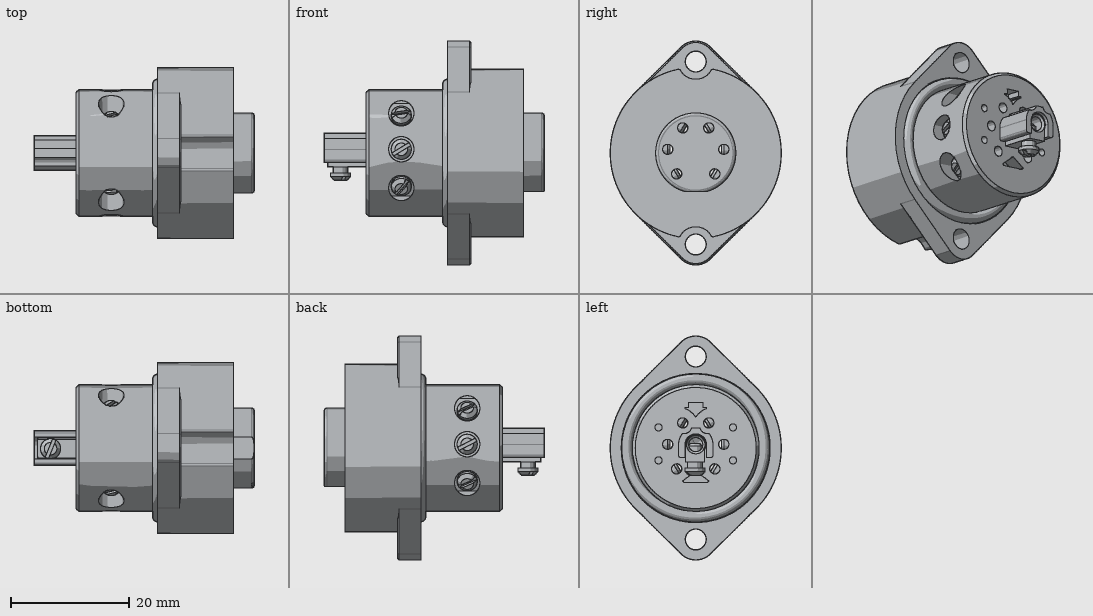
import cadquery as cq
import math


barrel_radius = 14.5
barrel_end = 12.95
flange_thickness = 4.02
flange_chamfer = 0.25
flange_height = 37.97
lobe_radius = 3.5
lobe_offset = flange_height / 2 - lobe_radius
mounting_hole_diameter = 3.5
groove_radius = 3.0
groove_edge_radius = 0.38

insert_radius = 10.75
ring_section_diameter = 1.8
ring_section_radius = ring_section_diameter / 2
ring_front = -0.8
ring_center_x = ring_front + ring_section_radius
ring_center_radius = insert_radius + ring_section_radius
recess_radius = 12.65
recess_depth = ring_center_x + ring_section_radius

insert_face = -13.8
insert_chamfer = 0.5
core_radius = 6.8
core_flat = 6.53
core_end = 16.45
core_end_radius = 0.5

bore_circle_diameter = 9.6
bore_circle_radius = bore_circle_diameter / 2
bore_diameter = 1.7
access_hole_diameter = 4.3
terminal_x = -7.8
screw_tip_overrun = 0.4
terminals = [
    (62.5, 31.0, 6.72, 4.05, {-1: 10.0, 1: 27.0}),
    (7.5, 0.0, 0.65, 4.05, {-1: 31.0, 1: 27.0}),
    (-47.5, -31.0, -5.92, 5.35, {-1: 52.0, 1: 27.0}),
]

screw_length = 5.4
screw_tip_radius = 0.8
screw_shank_radius = 1.25
screw_head_radius = 1.7
screw_face_radius = 1.05
screw_rim_height = 0.6
screw_cone_height = 0.65
screw_slot_width = 0.6
screw_slot_depth = 0.7
screw_head_start = screw_length - screw_rim_height - screw_cone_height

pilot_diameter = 1.2
pilot_depth = 3.05
pilot_y = 6.3
pilot_heights = (3.5, -2.1)
marker_depth = 2.65
arrow_half_width = 1.2
arrow_top = 7.75
arrow_barb_y = 1.8
arrow_barb_top = 6.87
arrow_barb_bottom = 6.7
arrow_flank_point = (0.9, 6.2)
arrow_tip = 5.25
triangle_tip = -3.95
triangle_half_width = 2.25
triangle_bottom = -5.85
triangle_corner = 0.25

key_front = -20.85
key_length = insert_face - key_front
key_radius = 2.92
key_top = 3.38
key_tab_half_width = 0.72
key_flank_point = (1.15, 2.75)
key_shoulder = 2.45
key_bottom = -1.65
key_corner_radius = 0.4
key_slot_diameter = 3.65

contact_z = 0.57
contact_front = -20.28
contact_length = insert_face - contact_front
contact_diameter = 3.4
contact_width = 3.2
contact_bottom = -2.35
foot_offset = 0.1
contact_bore_diameter = 2.4
contact_bore_depth = 4.55
contact_point_length = 0.75
contact_countersink_diameter = 3.1
earth_screw_x = -18.07
earth_screw_end = -4.65
earth_screw_slot_angle = 68.0


def yz_plane(x):
    """Sketch plane at x: local x runs along Y, local y along Z, extrusion along +X."""
    return cq.Workplane("YZ", origin=(x, 0, 0))


def cylinder(x_start, x_end, radius):
    return yz_plane(x_start).circle(radius).extrude(x_end - x_start)


def flange_plate():
    """Oval plate: barrel circle and two lobes joined by common tangents."""
    tangent = math.acos((barrel_radius - lobe_radius) / lobe_offset)
    side, rise = math.sin(tangent), math.cos(tangent)
    big_y, big_z = barrel_radius * side, barrel_radius * rise
    lobe_y, lobe_z = lobe_radius * side, lobe_offset + lobe_radius * rise
    lobe_tip = lobe_offset + lobe_radius
    plate = (
        yz_plane(0)
        .moveTo(big_y, -big_z)
        .threePointArc((barrel_radius, 0), (big_y, big_z))
        .lineTo(lobe_y, lobe_z)
        .threePointArc((0, lobe_tip), (-lobe_y, lobe_z))
        .lineTo(-big_y, big_z)
        .threePointArc((-barrel_radius, 0), (-big_y, -big_z))
        .lineTo(-lobe_y, -lobe_z)
        .threePointArc((0, -lobe_tip), (lobe_y, -lobe_z))
        .close()
        .extrude(flange_thickness)
    )
    return plate.faces(">X").edges().chamfer(flange_chamfer)


def grooved_barrel():
    """Barrel with a screw clearance groove behind each flange lobe."""
    barrel = cylinder(0, barrel_end, barrel_radius)
    lobe_centers = [(0, lobe_offset), (0, -lobe_offset)]
    grooves = (
        yz_plane(flange_thickness)
        .pushPoints(lobe_centers)
        .circle(groove_radius)
        .extrude(barrel_end - flange_thickness)
    )
    barrel = barrel.cut(grooves)
    corner_z = (barrel_radius**2 + lobe_offset**2 - groove_radius**2) / (2 * lobe_offset)
    corner_y = math.sqrt(barrel_radius**2 - corner_z**2)
    middle_x = (flange_thickness + barrel_end) / 2
    for y in (corner_y, -corner_y):
        for z in (corner_z, -corner_z):
            corner = cq.selectors.NearestToPointSelector((middle_x, y, z))
            barrel = barrel.edges("|X").edges(corner).fillet(groove_edge_radius)
    return barrel


def insert_core(x_start):
    """Rear core of the insert, round with a flat underneath."""
    core = cylinder(x_start, core_end, core_radius).faces(">X").edges().fillet(core_end_radius)
    keep = cq.Workplane("XY").box(
        core_end - x_start, 2 * core_radius, core_radius + core_flat, centered=(False, True, False)
    )
    return core.intersect(keep.translate((x_start, 0, -core_flat)))


def make_housing():
    body = grooved_barrel().union(flange_plate())
    body = body.cut(cylinder(0, recess_depth, recess_radius))
    body = body.cut(insert_core(recess_depth))
    mounting_holes = (
        yz_plane(0)
        .pushPoints([(0, lobe_offset), (0, -lobe_offset)])
        .circle(mounting_hole_diameter / 2)
        .extrude(flange_thickness)
    )
    return body.cut(mounting_holes)


def make_sealing_ring():
    ring = cq.Solid.makeTorus(
        ring_center_radius,
        ring_section_radius,
        cq.Vector(ring_center_x, 0, 0),
        cq.Vector(1, 0, 0),
    )
    return cq.Workplane("XY").add(ring)


def clamping_screw(slot_angle):
    """Slotted screw standing on its tip at the origin, head towards +Z."""
    screw = (
        cq.Workplane("XZ")
        .polyline([
            (0, 0),
            (screw_tip_radius, 0),
            (screw_shank_radius, screw_shank_radius - screw_tip_radius),
            (screw_shank_radius, screw_head_start),
            (screw_head_radius, screw_head_start),
            (screw_head_radius, screw_head_start + screw_rim_height),
            (screw_face_radius, screw_length),
            (0, screw_length),
        ])
        .close()
        .revolve(360, (0, 0, 0), (0, 1, 0))
    )
    slot = (
        cq.Workplane("XY")
        .box(2 * screw_head_radius, screw_slot_width, 2 * screw_slot_depth)
        .rotate((0, 0, 0), (0, 0, 1), slot_angle)
        .translate((0, 0, screw_length))
    )
    return screw.cut(slot)


def bore_center(bore_angle, side):
    """Y and Z of a wire bore; side is +1 or -1 for the +Y or -Y half."""
    angle = math.radians(bore_angle)
    return side * bore_circle_radius * math.cos(angle), bore_circle_radius * math.sin(angle)


def terminal_screw_frame(bore_angle, tilt, side):
    """Frame at the screw tip: Z along the screw axis, outwards on one side; X along the connector."""
    axis_y = side * math.cos(math.radians(tilt))
    axis_z = math.sin(math.radians(tilt))
    bore_y, bore_z = bore_center(bore_angle, side)
    origin = (terminal_x, bore_y - screw_tip_overrun * axis_y, bore_z - screw_tip_overrun * axis_z)
    return cq.Plane(origin=origin, xDir=(1, 0, 0), normal=(0, axis_y, axis_z))


def placed(shape, frame):
    return cq.Workplane("XY").add(shape.val().moved(cq.Location(frame)))


def access_hole(frame, side, height, floor_y):
    """Sideways hole to the screw, floored square to the screw and at most down to floor_y."""
    hole = (
        cq.Workplane("XZ", origin=(terminal_x, side * floor_y, height))
        .circle(access_hole_diameter / 2)
        .extrude(-side * insert_radius)
    )
    block_size = 2 * insert_radius
    above_floor = cq.Workplane("XY", origin=(0, 0, screw_head_start)).box(
        block_size, block_size, block_size, centered=(True, True, False)
    )
    return hole.intersect(placed(above_floor, frame))


def with_terminals(body):
    for bore_angle, tilt, height, floor_y, slot_angles in terminals:
        for side in (1, -1):
            frame = terminal_screw_frame(bore_angle, tilt, side)
            bore_y, bore_z = bore_center(bore_angle, side)
            bore = (
                yz_plane(insert_face)
                .center(bore_y, bore_z)
                .circle(bore_diameter / 2)
                .extrude(core_end - insert_face)
            )
            body = body.cut(bore).cut(access_hole(frame, side, height, floor_y))
            body = body.union(placed(clamping_screw(slot_angles[side]), frame))
    return body


def with_face_pockets(body):
    """Pilot holes, arrow and triangle sunk into the insert face."""
    pilots = (
        yz_plane(insert_face)
        .pushPoints([(y, z) for y in (pilot_y, -pilot_y) for z in pilot_heights])
        .circle(pilot_diameter / 2)
        .extrude(pilot_depth)
    )
    flank_y, flank_z = arrow_flank_point
    arrow = (
        yz_plane(insert_face)
        .moveTo(-arrow_half_width, arrow_top)
        .lineTo(arrow_half_width, arrow_top)
        .lineTo(arrow_half_width, arrow_barb_top)
        .lineTo(arrow_barb_y, arrow_barb_top)
        .lineTo(arrow_barb_y, arrow_barb_bottom)
        .threePointArc((flank_y, flank_z), (0, arrow_tip))
        .threePointArc((-flank_y, flank_z), (-arrow_barb_y, arrow_barb_bottom))
        .lineTo(-arrow_barb_y, arrow_barb_top)
        .lineTo(-arrow_half_width, arrow_barb_top)
        .close()
        .extrude(marker_depth)
    )
    triangle = (
        yz_plane(insert_face)
        .polyline([
            (0, triangle_tip),
            (triangle_half_width, triangle_bottom + triangle_corner),
            (triangle_half_width - triangle_corner, triangle_bottom),
            (triangle_corner - triangle_half_width, triangle_bottom),
            (-triangle_half_width, triangle_bottom + triangle_corner),
        ])
        .close()
        .extrude(marker_depth)
    )
    return body.cut(pilots).cut(arrow).cut(triangle)


def key_block():
    """Key with a tab on top and a round-topped slot for the earth contact."""
    flank_y, flank_z = key_flank_point
    arc_end_y = math.sqrt(key_radius**2 - (key_shoulder - contact_z) ** 2)
    arc_mid = math.asin((key_shoulder - contact_z) / key_radius) / 2
    arc_mid_y = key_radius * math.cos(arc_mid)
    arc_mid_z = contact_z + key_radius * math.sin(arc_mid)
    key = (
        yz_plane(key_front)
        .moveTo(-key_tab_half_width, key_top)
        .lineTo(key_tab_half_width, key_top)
        .threePointArc((flank_y, flank_z), (arc_end_y, key_shoulder))
        .threePointArc((arc_mid_y, arc_mid_z), (key_radius, contact_z))
        .lineTo(key_radius, key_bottom)
        .lineTo(-key_radius, key_bottom)
        .lineTo(-key_radius, contact_z)
        .threePointArc((-arc_mid_y, arc_mid_z), (-arc_end_y, key_shoulder))
        .threePointArc((-flank_y, flank_z), (-key_tab_half_width, key_top))
        .close()
        .extrude(key_length)
    )
    key = key.edges("|X and <Z").fillet(key_corner_radius)
    slot_round = yz_plane(key_front).center(0, contact_z).circle(key_slot_diameter / 2).extrude(key_length)
    slot_height = contact_z - key_bottom
    slot_straight = (
        yz_plane(key_front)
        .center(0, contact_z - slot_height / 2)
        .rect(key_slot_diameter, slot_height)
        .extrude(key_length)
    )
    return key.cut(slot_round).cut(slot_straight)


def contact_cone(x, start_radius, end_radius, length):
    """Cone on the contact axis, from start_radius at x to end_radius further along +X."""
    cone = cq.Solid.makeCone(
        start_radius, end_radius, length, cq.Vector(x, 0, contact_z), cq.Vector(1, 0, 0)
    )
    return cq.Workplane("XY").add(cone)


def earth_contact():
    """Contact tube on a flat foot set slightly off centre, clamped by a screw from below."""
    foot_height = contact_z - contact_bottom
    foot = (
        yz_plane(contact_front)
        .center(foot_offset, contact_z - foot_height / 2)
        .rect(contact_width, foot_height)
        .extrude(contact_length)
    )
    axis_start = yz_plane(contact_front).center(0, contact_z)
    tube = axis_start.circle(contact_diameter / 2).extrude(contact_length)
    bore_end = contact_front + contact_bore_depth
    bore = axis_start.circle(contact_bore_diameter / 2).extrude(contact_bore_depth)
    point = contact_cone(bore_end, contact_bore_diameter / 2, 0, contact_point_length)
    countersink_depth = (contact_countersink_diameter - contact_bore_diameter) / 2
    countersink = contact_cone(
        contact_front, contact_countersink_diameter / 2, contact_bore_diameter / 2, countersink_depth
    )
    tip_z = earth_screw_end + screw_length
    frame = cq.Plane(origin=(earth_screw_x, foot_offset, tip_z), xDir=(1, 0, 0), normal=(0, 0, -1))
    screw = placed(clamping_screw(earth_screw_slot_angle), frame)
    return tube.union(foot).cut(bore).cut(point).cut(countersink).union(screw)


def make_insert():
    front = cylinder(insert_face, recess_depth, insert_radius).faces("<X").edges().chamfer(insert_chamfer)
    body = front.union(insert_core(recess_depth))
    body = with_terminals(body)
    body = with_face_pockets(body)
    return body.union(key_block()).union(earth_contact())


housing = make_housing()
insert = make_insert()
sealing_ring = make_sealing_ring()

result = cq.Compound.makeCompound([housing.val(), insert.val(), sealing_ring.val()])